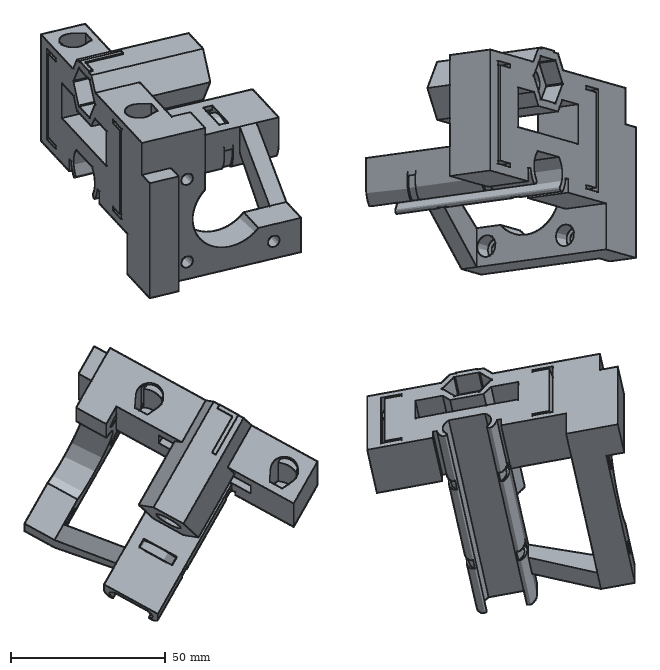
import cadquery as cq
import math

plate_width = 77.0
plate_depth = 15.9
plate_height = 40.0
centre_x = 33.0
window_width = 34.0
window_bottom = 17.0
window_top = 30.1

tube_z = 35.45
tube_radius = 11.1
tube_length = 40.0
rod_hole_diameter = 9.0
nut_radius = 8.2
nut_depth = 6.5
nut_corner_relief = 0.2
mark_height = 0.5
mark_left = -3.6
mark_width = 7.0
mark_length = 15.0
mark_stroke = 1.4

holder_length = 65.0
holder_top = 15.4
holder_radius = 10.0
bearing_radius = 8.0
bearing_z = 5.6
bearing_flat_z = 10.9
lip_angle = 32.5
clip_gap_width = 22.6
clip_gap_height = 4.55
tie_starts = (16.5, 45.5)
tie_width = 3.2
tie_inner_radius = 9.2
tie_outer_radius = 10.2
tie_slot_length = 12.2

guide_spacing = 50.0
guide_y = 7.8
guide_radius = 4.5
guide_flat_y = 5.6
guide_taper_angle = 25.0
guide_floor = 1.0
tongue_width = 6.8
tongue_margin = 3.0
slot_width = 1.2
slot_depth = guide_y
slot_lean = 1.1
tongue_tip_y = 5.9
tongue_sag = 0.8

bracket_thickness = 11.2
bracket_depth = 57.0
bracket_bottom = -15.2
bracket_x = plate_width - bracket_thickness
arm_top = -2.3
post_depth = 22.6
motor_y = 31.7
motor_z = 6.8
motor_opening_radius = 13.5
motor_hole_spacing = 31.0
motor_hole_diameter = 4.15
motor_head_diameter = 7.1
motor_head_depth = 6.0
flange_width = 5.9
flange_depth = 10.4
flange_top = 28.0
strut_depth = 6.0


def box(x_range, y_range, z_range):
    """Box given by its limits along each axis."""
    size = [high - low for low, high in (x_range, y_range, z_range)]
    corner = (x_range[0], y_range[0], z_range[0])
    return cq.Workplane("XY").box(*size, centered=False).translate(corner)


def front_plane(x, z, y=0.0):
    """Sketch plane at depth y whose positive extrusion runs toward +Y and local Y is -Z."""
    return cq.Workplane(cq.Plane(origin=(x, y, z), xDir=(1, 0, 0), normal=(0, 1, 0)))


def rod_y(x, z, radius, start, length):
    """Cylinder along +Y."""
    return front_plane(x, z, start).circle(radius).extrude(length)


def plate():
    body = box((0, plate_width), (0, plate_depth), (0, plate_height))
    half = window_width / 2
    window = box((centre_x - half, centre_x + half), (0, plate_depth), (window_bottom, window_top))
    gap = clip_gap_width / 2
    clip_gap = box((centre_x - gap, centre_x + gap), (0, plate_depth), (0, clip_gap_height))
    return body.cut(window).cut(clip_gap)


def screw_tube():
    tube = front_plane(centre_x, tube_z).polygon(6, 2 * tube_radius).extrude(tube_length)
    top = tube_z + tube_radius * math.cos(math.pi / 6)
    left = centre_x + mark_left
    mark_z = (top, top + mark_height)
    stem = box((left, left + mark_stroke), (0, mark_length), mark_z)
    foot = box((left, left + mark_width), (0, mark_stroke), mark_z)
    return tube.union(stem).union(foot)


def screw_bore():
    bore = rod_y(centre_x, tube_z, rod_hole_diameter / 2, 0, tube_length)
    nut = front_plane(centre_x, tube_z).polygon(6, 2 * nut_radius).extrude(nut_depth)
    reliefs = (
        front_plane(centre_x, tube_z)
        .polarArray(nut_radius, 0, 360, 6)
        .circle(nut_corner_relief)
        .extrude(nut_depth)
    )
    return bore.union(nut).union(reliefs)


def bearing_holder():
    """Block with a flat top and a half-round underside."""
    return (
        front_plane(centre_x, bearing_z)
        .moveTo(-holder_radius, 0)
        .lineTo(-holder_radius, bearing_z - holder_top)
        .lineTo(holder_radius, bearing_z - holder_top)
        .lineTo(holder_radius, 0)
        .threePointArc((0, holder_radius), (-holder_radius, 0))
        .close()
        .extrude(holder_length)
    )


def bearing_channel():
    """Bearing bore with a flat roof, open below between the two clip lips."""
    below = bearing_z - 2 * holder_radius
    bore = rod_y(centre_x, bearing_z, bearing_radius, 0, holder_length)
    roof_limit = box(
        (centre_x - bearing_radius, centre_x + bearing_radius), (0, holder_length), (below, bearing_flat_z)
    )
    lip_middle = (holder_radius + bearing_radius) / 2
    tip_x = lip_middle * math.cos(math.radians(lip_angle))
    tip_drop = lip_middle * math.sin(math.radians(lip_angle))
    reach = 2 * holder_radius * math.cos(math.radians(lip_angle))
    drop = 2 * holder_radius * math.sin(math.radians(lip_angle))
    mouth = (
        front_plane(centre_x, bearing_z)
        .polyline([(0, 0), (reach, drop), (reach, 2 * drop), (-reach, 2 * drop), (-reach, drop)])
        .close()
        .extrude(holder_length)
    )
    tip_radius = (holder_radius - bearing_radius) / 2
    for side in (-1, 1):
        tip = rod_y(centre_x + side * tip_x, bearing_z - tip_drop, tip_radius, 0, holder_length)
        mouth = mouth.cut(tip)
        bore = bore.cut(tip)
    return bore.intersect(roof_limit).union(mouth)


def tie_groove(start):
    """Cable tie passage: a ring around the holder that opens through its flat top."""
    y_range = (start, start + tie_width)
    half = tie_slot_length / 2
    ring = rod_y(centre_x, bearing_z, tie_outer_radius, start, tie_width)
    top_slot = box((centre_x - half, centre_x + half), y_range, (bearing_z, holder_top))
    core = rod_y(centre_x, bearing_z, tie_inner_radius, start, tie_width)
    return ring.union(top_slot).cut(core)


def guide_hole(x):
    """Blind vertical hole: a circle whose rear side tapers to a flat."""
    angle = math.radians(guide_taper_angle)
    tangent_x = guide_radius * math.cos(angle)
    tangent_y = guide_radius * math.sin(angle)
    flat_x = (guide_radius - guide_flat_y * math.sin(angle)) / math.cos(angle)
    return (
        cq.Workplane("XY")
        .workplane(offset=guide_floor)
        .center(x, guide_y)
        .moveTo(flat_x, guide_flat_y)
        .lineTo(tangent_x, tangent_y)
        .threePointArc((0, -guide_radius), (-tangent_x, tangent_y))
        .lineTo(-flat_x, guide_flat_y)
        .close()
        .extrude(plate_height - guide_floor)
    )


def tongue_bump(x):
    """Rod seat that swells the tongue into the guide hole."""
    half = tongue_width / 2
    return (
        cq.Workplane("XY")
        .workplane(offset=tongue_margin + slot_width)
        .moveTo(x - half, 0)
        .lineTo(x - half, tongue_tip_y)
        .threePointArc((x, tongue_tip_y - tongue_sag), (x + half, tongue_tip_y))
        .lineTo(x + half, 0)
        .close()
        .extrude(plate_height - 2 * (tongue_margin + slot_width))
    )


def tongue_slots(x, outer_side):
    """Slots that free the tongue above, below and along its outer side.

    The side slot leans outward as it deepens, so the tongue widens toward the rod.
    """
    half = tongue_width / 2
    outer_x = x + outer_side * half
    inner_x = outer_x - outer_side * slot_width
    lean = outer_side * slot_lean
    slots = (
        cq.Workplane("XY")
        .workplane(offset=tongue_margin)
        .polyline([
            (outer_x, 0),
            (inner_x, 0),
            (inner_x + lean, tongue_tip_y),
            (outer_x + lean, tongue_tip_y),
        ])
        .close()
        .extrude(plate_height - 2 * tongue_margin)
    )
    for bottom in (tongue_margin, plate_height - tongue_margin - slot_width):
        slots = slots.union(box((x - half, x + half), (0, slot_depth), (bottom, bottom + slot_width)))
    return slots


def motor_bracket():
    x_range = (bracket_x, plate_width)
    body = box(x_range, (0, bracket_depth), (bracket_bottom, plate_height))
    body = body.cut(box(x_range, (post_depth, bracket_depth), (arm_top, plate_height)))
    opening = (
        cq.Workplane("YZ")
        .workplane(offset=bracket_x)
        .center(motor_y, motor_z)
        .circle(motor_opening_radius)
        .extrude(bracket_thickness)
    )
    flange = box(
        (plate_width, plate_width + flange_width), (0, flange_depth), (bracket_bottom, flange_top)
    )
    return body.cut(opening).union(flange)


def motor_screw_hole(y, z):
    start = cq.Workplane("YZ").workplane(offset=bracket_x).center(y, z)
    hole = start.circle(motor_hole_diameter / 2).extrude(bracket_thickness)
    return hole.union(start.circle(motor_head_diameter / 2).extrude(motor_head_depth))


def strut():
    """Sloping brace from the side of the bearing holder to the bracket arm."""
    holder_x = centre_x + holder_radius
    return (
        front_plane(0, 0, bracket_depth - strut_depth)
        .polyline([
            (holder_x, -bearing_z),
            (holder_x, -holder_top),
            (bracket_x, -arm_top),
            (bracket_x, -bracket_bottom),
        ])
        .close()
        .extrude(strut_depth)
    )


result = plate().union(motor_bracket()).union(bearing_holder()).union(strut()).union(screw_tube())
result = result.cut(screw_bore()).cut(bearing_channel())
for tie_start in tie_starts:
    result = result.cut(tie_groove(tie_start))

for side in (-1, 1):
    guide_x = centre_x + side * guide_spacing / 2
    result = result.cut(guide_hole(guide_x))
    result = result.union(tongue_bump(guide_x))
    result = result.cut(tongue_slots(guide_x, side))

hole_offset = motor_hole_spacing / 2
for y_side, z_side in ((-1, -1), (1, -1), (-1, 1)):
    screw_y = motor_y + y_side * hole_offset
    screw_z = motor_z + z_side * hole_offset
    result = result.cut(motor_screw_hole(screw_y, screw_z))